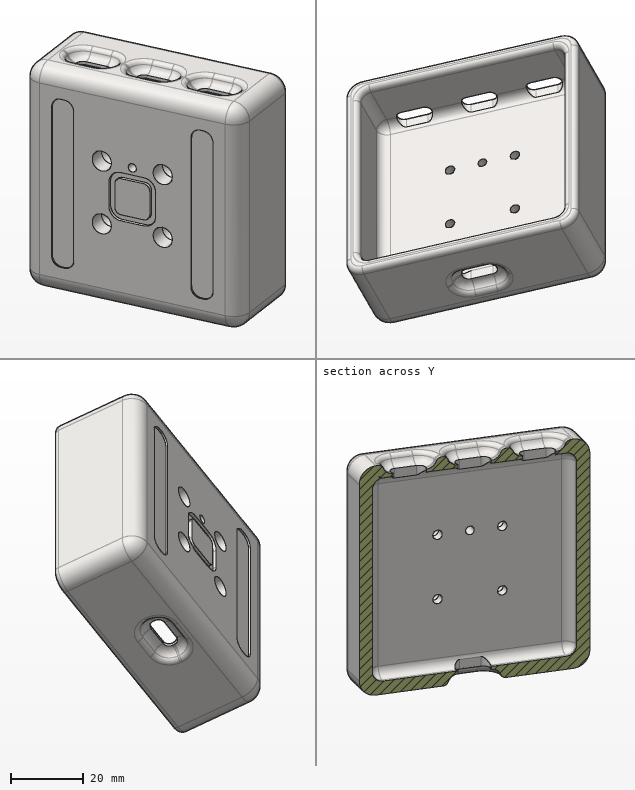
import cadquery as cq
import math

side = 68.3
depth = 27.5
wall = 4.0
front_wall = 10.1
edge_radius = 5.0
rear_edge_radius = 1.7
rim_radius = 1.7
cavity_radius = 3.0

hole_pitch = 19.1
screw_diameter = 2.7
head_diameter = 6.0
head_depth = 5.45
pilot_diameter = 2.5

strip_width = 7.0
strip_length = 51.2
strip_spacing = 43.7
strip_corner_radius = 3.0
strip_depth = 0.55
frame_outer = 14.7
frame_inner = 11.0
frame_outer_radius = 3.75
frame_inner_radius = 2.0
frame_depth = 1.0

entry_pitch = 19.1
entry_y = -1.2
core_length = 6.4
core_width = 0.55
throat_radius = 1.9
lip_arc_radius = 1.7
bowl_arc_radius = 2.9
flare_angle = math.radians(70)

front_y = -depth / 2
rear_y = depth / 2
half_side = side / 2
cavity_side = side - 2 * wall
cut_margin = 0.7


def front_plane(offset=0.0):
    """Sketch plane parallel to the front face, offset into the part; its normal points to +Y."""
    return cq.Workplane(cq.Plane((0, front_y + offset, 0), xDir=(-1, 0, 0), normal=(0, 1, 0)))


def rounded_block(length, height, radius, thickness):
    """Block with rounded corners that reaches into the part from the front face."""
    return front_plane().rect(length, height).extrude(thickness).edges("|Y").fillet(radius)


def housing():
    """Rounded box with its cavity open towards +Y and a softened rim inside the opening."""
    body = cq.Workplane("XY").box(side, depth, side)
    body = body.edges("|Y").fillet(edge_radius)
    body = body.faces("<Y").edges().fillet(edge_radius)
    body = body.faces(">Y").edges().fillet(rear_edge_radius)
    cavity = front_plane(front_wall).rect(cavity_side, cavity_side).extrude(depth - front_wall)
    cavity = cavity.edges("|Y").fillet(cavity_radius)
    cavity = cavity.faces("<Y").edges().fillet(cavity_radius)
    body = body.cut(cavity)
    rim_point = (half_side - wall, rear_y, 0)
    return body.edges(cq.selectors.NearestToPointSelector(rim_point)).fillet(rim_radius)


def flare_half(core_half):
    """Face from the flare's middle line to its S-shaped side; local Y = 0 is the outer face."""
    half_angle = flare_angle / 2
    throat_x = core_half + throat_radius
    bend_x = throat_x + bowl_arc_radius * math.sin(flare_angle)
    lip_x = bend_x + lip_arc_radius * math.sin(flare_angle)
    bend_y = -lip_arc_radius * (1 - math.cos(flare_angle))
    throat_y = bend_y - bowl_arc_radius * (1 - math.cos(flare_angle))
    lip_middle = (
        lip_x - lip_arc_radius * math.sin(half_angle),
        -lip_arc_radius * (1 - math.cos(half_angle)),
    )
    bowl_middle = (
        throat_x + bowl_arc_radius * math.sin(half_angle),
        throat_y + bowl_arc_radius * (1 - math.cos(half_angle)),
    )
    throat_end = -(wall + cavity_radius)
    return (
        cq.Workplane("XZ")
        .moveTo(0, 0)
        .lineTo(lip_x, 0)
        .threePointArc(lip_middle, (bend_x, bend_y))
        .threePointArc(bowl_middle, (throat_x, throat_y))
        .lineTo(throat_x, throat_end)
        .lineTo(0, throat_end)
        .close()
    )


def flare_bar(core_half, length):
    """Straight stretch of the flare, running along Y with both sides symmetric about X = 0."""
    half = flare_half(core_half).extrude(length / 2, both=True)
    return half.union(half.mirror("YZ"))


def flared_entry():
    """Cutter for one entry, centred on the origin with its mouth at Z = 0."""
    cutter = flare_bar(core_length / 2, core_width)
    cutter = cutter.union(flare_bar(core_width / 2, core_length).rotate((0, 0, 0), (0, 0, 1), 90))
    corner = flare_half(0).revolve(360, (0, 0, 0), (0, 1, 0))
    for x in (-core_length / 2, core_length / 2):
        for y in (-core_width / 2, core_width / 2):
            cutter = cutter.union(corner.translate((x, y, 0)))
    return cutter


def screw_hole():
    """Through hole with a deep head bore that ends in a 90 degree cone."""
    head_radius = head_diameter / 2
    screw_radius = screw_diameter / 2
    cone_end = head_depth + head_radius - screw_radius
    hole_end = front_wall + cut_margin
    return (
        cq.Workplane("XY", origin=(0, front_y, 0))
        .polyline([
            (0, 0),
            (head_radius, 0),
            (head_radius, head_depth),
            (screw_radius, cone_end),
            (screw_radius, hole_end),
            (0, hole_end),
        ])
        .close()
        .revolve(360, (0, 0, 0), (0, 1, 0))
    )


result = housing()

entry = flared_entry()
for x in (-entry_pitch, 0, entry_pitch):
    result = result.cut(entry.translate((x, entry_y, half_side)))
result = result.cut(entry.rotate((0, 0, 0), (0, 1, 0), 180).translate((0, entry_y, -half_side)))

hole = screw_hole()
for x in (-hole_pitch / 2, hole_pitch / 2):
    for z in (-hole_pitch / 2, hole_pitch / 2):
        result = result.cut(hole.translate((x, 0, z)))
pilot = front_plane().center(0, hole_pitch / 2).circle(pilot_diameter / 2)
result = result.cut(pilot.extrude(front_wall + cut_margin))

strip = rounded_block(strip_width, strip_length, strip_corner_radius, strip_depth)
for x in (-strip_spacing / 2, strip_spacing / 2):
    result = result.cut(strip.translate((x, 0, 0)))
frame = rounded_block(frame_outer, frame_outer, frame_outer_radius, frame_depth)
frame = frame.cut(rounded_block(frame_inner, frame_inner, frame_inner_radius, frame_depth))
result = result.cut(frame)